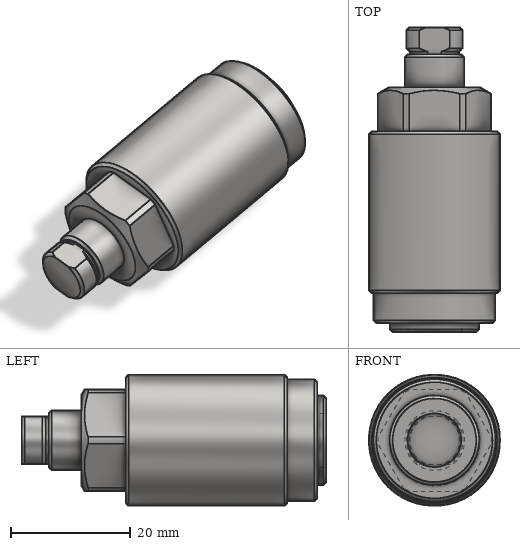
import cadquery as cq
import math

EDGE_CHAMFER = 0.5

HEX_SIDES = 6
HEX_LENGTH = 7.4
HEX_ACROSS_FLATS = 17.0
HEX_CORNER_DIAMETER = 19.0
HEX_CHAMFER_ANGLE = 30.0
HEX_CHAMFER_HEIGHT = 1.1
NECK_DIAMETER = 10.0
NECK_LENGTH = 5.5
GROOVE_DIAMETER = 8.3
GROOVE_WIDTH = 0.45
TIP_DIAMETER = 9.5
TIP_LENGTH = 4.05
TIP_ACROSS_FLATS = 8.0

BARREL_DIAMETER = 22.0
BARREL_LENGTH = 27.1
COLLAR_DIAMETER = 20.45
COLLAR_LENGTH = 5.0
NOSE_DIAMETER = 15.0
NOSE_LENGTH = 1.5
RECESS_DIAMETER = 9.0
RECESS_DEPTH = 1.5

HEX_END = HEX_LENGTH
NECK_END = HEX_END + NECK_LENGTH
GROOVE_END = NECK_END + GROOVE_WIDTH
TIP_END = GROOVE_END + TIP_LENGTH


def cylinder_along_y(diameter, start, length):
    """Cylinder on the Y axis that grows toward +Y from the start station."""
    plane = cq.Workplane("XZ", origin=(0, start, 0))
    return plane.circle(diameter / 2).extrude(-length)


def make_hexagon():
    """Hexagon with rounded-off corners and a conical chamfer at its outer end, flats facing +Z and -Z."""
    corner_to_corner = HEX_ACROSS_FLATS / math.cos(math.pi / HEX_SIDES)
    prism = cq.Workplane("XZ").polygon(HEX_SIDES, corner_to_corner).extrude(-HEX_LENGTH)
    corner_radius = HEX_CORNER_DIAMETER / 2
    end_radius = corner_radius - HEX_CHAMFER_HEIGHT / math.tan(math.radians(HEX_CHAMFER_ANGLE))
    envelope = (
        cq.Workplane("XY")
        .lineTo(corner_radius, 0)
        .lineTo(corner_radius, HEX_END - HEX_CHAMFER_HEIGHT)
        .lineTo(end_radius, HEX_END)
        .lineTo(0, HEX_END)
        .close()
        .revolve(360, (0, 0, 0), (0, 1, 0))
    )
    return prism.intersect(envelope)


def make_tip():
    """Tip with a chamfered end, a conical run-in to the groove, and two flats facing +Z and -Z."""
    tip = cylinder_along_y(TIP_DIAMETER, GROOVE_END, TIP_LENGTH)
    tip = tip.faces(">Y").chamfer(EDGE_CHAMFER)
    tip = tip.faces("<Y").chamfer((TIP_DIAMETER - GROOVE_DIAMETER) / 2)
    groove = cylinder_along_y(GROOVE_DIAMETER, NECK_END, GROOVE_WIDTH)
    flats_length = TIP_END - NECK_END
    flats = cq.Workplane("XY").box(TIP_DIAMETER, flats_length, TIP_ACROSS_FLATS)
    flats = flats.translate((0, NECK_END + flats_length / 2, 0))
    return tip.union(groove).intersect(flats)


def make_fitting():
    """Rear body: hexagon, neck and tip in one piece."""
    neck = cylinder_along_y(NECK_DIAMETER, HEX_END, NECK_LENGTH)
    neck = neck.faces(">Y").chamfer(EDGE_CHAMFER)
    return make_hexagon().union(neck).union(make_tip())


def make_housing():
    """Front body: stepped cylinder with a blind round recess in its nose."""
    barrel_front = -BARREL_LENGTH
    collar_front = barrel_front - COLLAR_LENGTH
    nose_front = collar_front - NOSE_LENGTH
    barrel = cylinder_along_y(BARREL_DIAMETER, barrel_front, BARREL_LENGTH)
    barrel = barrel.faces("<Y or >Y").chamfer(EDGE_CHAMFER)
    collar = cylinder_along_y(COLLAR_DIAMETER, collar_front, COLLAR_LENGTH)
    collar = collar.faces("<Y").chamfer(EDGE_CHAMFER)
    nose = cylinder_along_y(NOSE_DIAMETER, nose_front, NOSE_LENGTH)
    nose = nose.faces("<Y").chamfer(EDGE_CHAMFER)
    recess = cylinder_along_y(RECESS_DIAMETER, nose_front, RECESS_DEPTH)
    return barrel.union(collar).union(nose).cut(recess)


fitting = make_fitting()
housing = make_housing()

result = cq.Compound.makeCompound([fitting.val(), housing.val()])